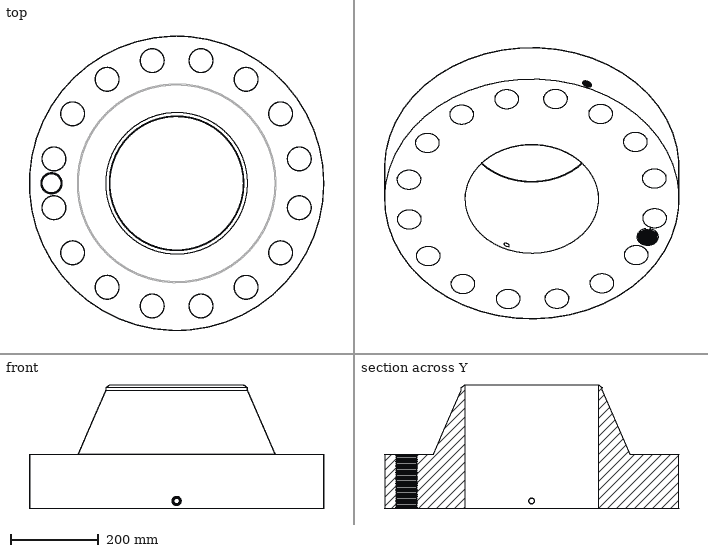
import cadquery as cq
import math

FLANGE_DIAMETER = 673.1
FLANGE_THICKNESS = 124.0
OVERALL_HEIGHT = 282.45

BORE_DIAMETER = 304.8
NECK_TOP_DIAMETER = 323.9
NECK_STRAIGHT_LENGTH = 6.0
HUB_BASE_DIAMETER = 450.9
HUB_BASE_FILLET = 3.0
WELD_LAND = 1.6
WELD_BEVEL_ANGLE = 37.5

BOLT_COUNT = 16
BOLT_CIRCLE_DIAMETER = 571.5
BOLT_HOLE_DIAMETER = 54.0

JACK_MAJOR_DIAMETER = 48.6
JACK_MINOR_DIAMETER = 43.2
JACK_PITCH = 5.0

TAP_HEIGHT = 17.5
TAP_BORE_DIAMETER = 12.7
TAP_MAJOR_DIAMETER = 21.3
TAP_MINOR_DIAMETER = 18.0
TAP_PITCH = 1.814
TAP_THREADED_LENGTH = 20.0


def make_flange_body():
    """Revolved flange plate and tapered neck, with the bore through both."""
    flange_radius = FLANGE_DIAMETER / 2
    bore_radius = BORE_DIAMETER / 2
    neck_radius = NECK_TOP_DIAMETER / 2
    hub_radius = HUB_BASE_DIAMETER / 2
    land_radius = bore_radius + WELD_LAND
    bevel_height = (neck_radius - land_radius) * math.tan(math.radians(WELD_BEVEL_ANGLE))
    bevel_base = OVERALL_HEIGHT - bevel_height
    body = (
        cq.Workplane("XZ")
        .moveTo(bore_radius, 0)
        .lineTo(flange_radius, 0)
        .lineTo(flange_radius, FLANGE_THICKNESS)
        .lineTo(hub_radius, FLANGE_THICKNESS)
        .lineTo(neck_radius, bevel_base - NECK_STRAIGHT_LENGTH)
        .lineTo(neck_radius, bevel_base)
        .lineTo(land_radius, OVERALL_HEIGHT)
        .lineTo(bore_radius, OVERALL_HEIGHT)
        .close()
        .revolve(360, (0, 0, 0), (0, 1, 0))
    )
    plate_top = body.faces("+Z").faces("<Z")
    return plate_top.edges(cq.selectors.RadiusNthSelector(0)).fillet(HUB_BASE_FILLET)


def bolt_holes():
    """Through holes on the bolt circle, straddling the X and Y axes."""
    return (
        cq.Workplane("XY")
        .polarArray(BOLT_CIRCLE_DIAMETER / 2, 180 / BOLT_COUNT, 360, BOLT_COUNT)
        .circle(BOLT_HOLE_DIAMETER / 2)
        .extrude(FLANGE_THICKNESS)
    )


def threaded_hole(base, direction, minor_diameter, major_diameter, pitch, length):
    """Cutter for a hole from base along direction, its thread simplified to one V ring groove per pitch."""
    minor_radius = minor_diameter / 2
    major_radius = major_diameter / 2
    turns = math.ceil(length / pitch)
    profile = cq.Workplane("XZ").lineTo(minor_radius, 0)
    for turn in range(turns):
        profile = profile.lineTo(major_radius, (turn + 0.5) * pitch)
        profile = profile.lineTo(minor_radius, (turn + 1) * pitch)
    cutter = profile.lineTo(0, turns * pitch).close().revolve(360, (0, 0, 0), (0, 1, 0))
    hole_plane = cq.Plane(origin=base, xDir=(1, 0, 0), normal=direction)
    return cq.Workplane(obj=cutter.val().located(cq.Location(hole_plane)))


def jack_screw_hole():
    base = (-BOLT_CIRCLE_DIAMETER / 2, 0, 0)
    return threaded_hole(
        base, (0, 0, 1), JACK_MINOR_DIAMETER, JACK_MAJOR_DIAMETER, JACK_PITCH, FLANGE_THICKNESS
    )


def pressure_tap(side):
    """Plain drilling from the bore to the rim, with a threaded socket at the rim; side is -1 or 1."""
    direction = (0, side, 0)
    drilling_plane = cq.Plane(origin=(0, 0, TAP_HEIGHT), xDir=(1, 0, 0), normal=direction)
    drilling = cq.Workplane(drilling_plane).circle(TAP_BORE_DIAMETER / 2).extrude(FLANGE_DIAMETER / 2)
    socket_floor = (0, side * (FLANGE_DIAMETER / 2 - TAP_THREADED_LENGTH), TAP_HEIGHT)
    socket = threaded_hole(
        socket_floor, direction, TAP_MINOR_DIAMETER, TAP_MAJOR_DIAMETER, TAP_PITCH, TAP_THREADED_LENGTH
    )
    return drilling.union(socket)


result = make_flange_body()
for cutter in (bolt_holes(), jack_screw_hole(), pressure_tap(-1), pressure_tap(1)):
    result = result.cut(cutter)